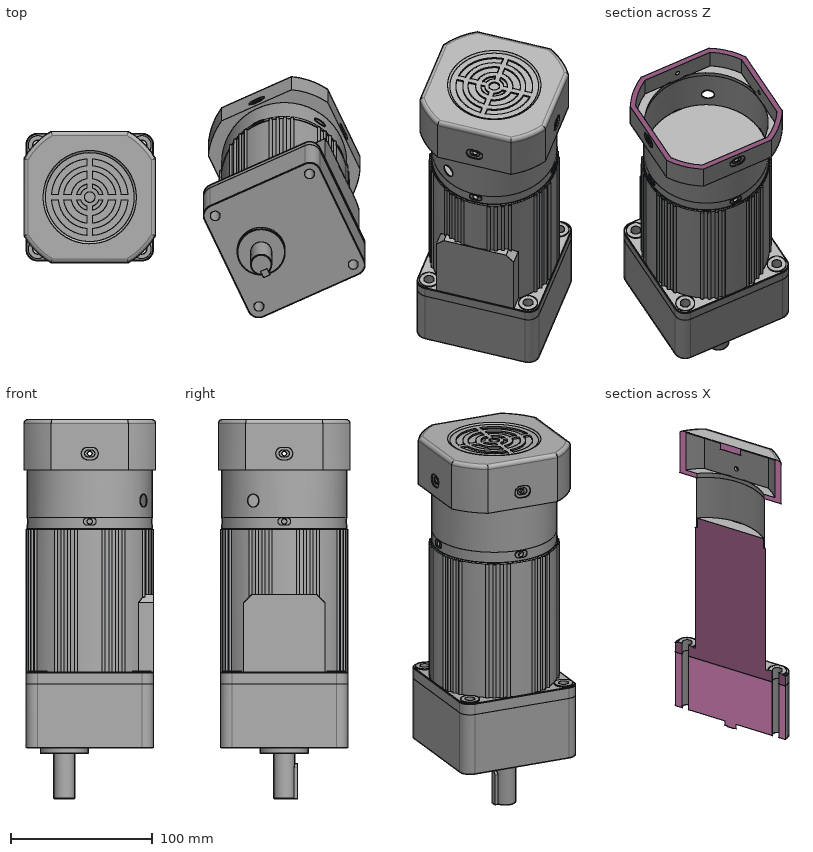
import cadquery as cq

gearhead_bottom = 36.0
flange_bottom = 81.2
flange_top = 89.5
shoulder_top = 191.0
spigot_top = 198.9
cover_bottom = 232.0
cover_top = 268.0

base_side = 90.0
base_corner_radius = 8.0
base_edge_chamfer = 0.5
bolt_offset = 36.7
bolt_hole_diameter = 7.0
pad_diameter = 13.5
pad_height = 0.8

shaft_offset_x = -18.0
boss_diameter = 34.0
boss_height = 4.0
shaft_diameter = 15.0
tip_chamfer = 0.5
key_width = 5.0
key_length = 25.0
key_outer_face = 9.5
key_height = 5.0

barrel_radius = 44.8
barrel_chamfer = 0.8
rib_radius = 1.2
rib_angles = (12.5, 19.0, 25.5, 32.0)

block_width = 57.4
block_top = 144.2
block_chamfer = 5.5

cover_side = 93.0
cover_corner_radius = 54.0
cover_wall = 4.0
cover_top_fillet = 3.0
skirt_radius = 44.2
skirt_wall = 0.5
skirt_bore_radius = skirt_radius - skirt_wall

lid_thickness = 1.0
dish_top_radius = 33.0
dish_floor_radius = 31.4
grille_radius = 35.5
grille_thickness = 4.8
slot_depth = 1.0
slot_rings = ((27.0, 22.2), (18.5, 13.0), (9.5, 6.7))
spoke_width = 3.8
hub_hole_radius = 3.8

upper_seat_z = 244.0
upper_seat_length = 12.0
upper_seat_height = 8.8
upper_seat_depth = 0.95
upper_step_length = 7.2
upper_step_height = 4.8
upper_step_depth = 0.5
upper_hole_diameter = 3.2
lower_seat_z = 196.0
lower_seat_length = 9.0
lower_seat_height = 5.0
lower_seat_depth = 1.3
lower_hole_diameter = 3.8
lower_hole_depth = 4.0
cable_hole_z = 210.6
cable_hole_diameter = 9.0
cable_hole_depth = 2.7
cable_hole_angle = 60

quarter_turns = (0, 90, 180, 270)


def rounded_base(bottom, top):
    """Square block with rounded vertical edges between two levels."""
    return (
        cq.Workplane("XY", origin=(0, 0, bottom))
        .rect(base_side, base_side)
        .extrude(top - bottom)
        .edges("|Z")
        .fillet(base_corner_radius)
    )


def at_bolts(z):
    """Workplane at a level with the four corner bolt positions selected."""
    pitch = 2 * bolt_offset
    return cq.Workplane("XY", origin=(0, 0, z)).rect(pitch, pitch, forConstruction=True).vertices()


def drum(radius, bottom, top):
    """Solid cylinder about the motor axis between two levels."""
    return cq.Workplane("XY", origin=(0, 0, bottom)).circle(radius).extrude(top - bottom)


def front_plane(distance, z):
    """Workplane facing -Y at a distance from the motor axis; extruding inwards is negative."""
    return cq.Workplane("XZ", origin=(0, -distance, z))


def on_four_sides(tool):
    """The tool repeated at every quarter turn about the motor axis."""
    copies = cq.Workplane("XY")
    for angle in quarter_turns:
        copies = copies.add(tool.rotate((0, 0, 0), (0, 0, 1), angle))
    return copies.combine()


def make_key():
    """Parallel key with a round upper end, running down to the shaft tip."""
    straight_length = key_length - key_width / 2
    inner_face = key_outer_face - key_height
    return (
        cq.Workplane("XZ", origin=(shaft_offset_x, key_outer_face, 0))
        .moveTo(-key_width / 2, 0)
        .lineTo(key_width / 2, 0)
        .lineTo(key_width / 2, straight_length)
        .threePointArc((0, key_length), (-key_width / 2, straight_length))
        .close()
        .extrude(key_outer_face - inner_face)
    )


def output_cylinder(diameter, length):
    """Cylinder on the output axis, hanging from the gearhead, with a chamfered lower end."""
    return (
        cq.Workplane("XY", origin=(shaft_offset_x, 0, gearhead_bottom))
        .circle(diameter / 2)
        .extrude(-length)
        .faces("<Z")
        .chamfer(tip_chamfer)
    )


def make_gearhead(key):
    """Gearhead block with the offset boss, the output shaft and its keyway."""
    body = rounded_base(gearhead_bottom, flange_bottom).faces("<Z").chamfer(base_edge_chamfer)
    boss = output_cylinder(boss_diameter, boss_height)
    shaft = output_cylinder(shaft_diameter, gearhead_bottom)
    bolt_holes = at_bolts(gearhead_bottom).circle(bolt_hole_diameter / 2)
    bolt_holes = bolt_holes.extrude(flange_bottom - gearhead_bottom)
    return body.cut(bolt_holes).union(boss).union(shaft).cut(key)


def make_flange():
    """Motor flange with a raised round pad about each bolt hole."""
    flange = rounded_base(flange_bottom, flange_top).faces(">Z").chamfer(base_edge_chamfer)
    pads = at_bolts(flange_top).circle(pad_diameter / 2).extrude(pad_height)
    bolt_holes = at_bolts(flange_bottom).circle(bolt_hole_diameter / 2)
    bolt_holes = bolt_holes.extrude(flange_top + pad_height - flange_bottom)
    return flange.union(pads).cut(bolt_holes)


def make_barrel():
    """Motor barrel with groups of lengthwise half-round ribs either side of each quarter line."""
    barrel = drum(barrel_radius, flange_top, shoulder_top).faces(">Z").chamfer(barrel_chamfer)
    rib = (
        cq.Workplane("XY", origin=(0, -barrel_radius, flange_top))
        .circle(rib_radius)
        .extrude(shoulder_top - barrel_chamfer - flange_top)
    )
    for quarter in quarter_turns:
        for angle in rib_angles:
            for side in (-1, 1):
                barrel = barrel.union(rib.rotate((0, 0, 0), (0, 0, 1), quarter + side * angle))
    return barrel


def make_terminal_block():
    """Block on the +X side of the barrel, sloped at both upper side edges."""
    reach = base_side / 2
    return (
        cq.Workplane("XY", origin=(reach / 2, 0, flange_top))
        .rect(reach, block_width)
        .extrude(block_top - flange_top)
        .edges(">Z and |X")
        .chamfer(block_chamfer)
    )


def make_motor():
    """Motor: flange, ribbed barrel, terminal block and the spigot that carries the fan cover."""
    spigot = drum(skirt_bore_radius, shoulder_top, spigot_top)
    screw_hole = (
        front_plane(skirt_bore_radius, lower_seat_z).circle(lower_hole_diameter / 2).extrude(-lower_hole_depth)
    )
    spigot = spigot.cut(on_four_sides(screw_hole))
    return make_flange().union(make_barrel()).union(make_terminal_block()).union(spigot)


def cover_block(inset, bottom, top):
    """Square block whose corners follow a circle about the motor axis, shrunk by an inset."""
    side = cover_side - 2 * inset
    square = cq.Workplane("XY", origin=(0, 0, bottom)).rect(side, side).extrude(top - bottom)
    return square.intersect(drum(cover_corner_radius - inset, bottom, top))


def grille_slots(floor_z):
    """Rings of blind slots split by two crossing spokes, and the blind hole at the hub."""
    bottom_z = floor_z - slot_depth
    spoke_length = 2 * grille_radius
    plane = cq.Workplane("XY", origin=(0, 0, bottom_z))
    spoke = plane.rect(spoke_length, spoke_width).extrude(slot_depth)
    spokes = spoke.union(spoke.rotate((0, 0, 0), (0, 0, 1), 90))
    slots = drum(hub_hole_radius, bottom_z, floor_z)
    for outer, inner in slot_rings:
        ring = plane.circle(outer).circle(inner).extrude(slot_depth)
        slots = slots.union(ring.cut(spokes))
    return slots


def upper_screw_seat():
    """Stepped oblong recess with a hole through the cover wall."""
    face = cover_side / 2
    recess = (
        front_plane(face, upper_seat_z).slot2D(upper_seat_length, upper_seat_height).extrude(-upper_seat_depth)
    )
    step = (
        front_plane(face - upper_seat_depth, upper_seat_z)
        .slot2D(upper_step_length, upper_step_height)
        .extrude(-upper_step_depth)
    )
    hole = front_plane(face, upper_seat_z).circle(upper_hole_diameter / 2).extrude(-cover_wall)
    return recess.union(step).union(hole)


def make_fan_cover():
    """Hollow fan cover with a dished grille in the lid and a thin skirt over the motor spigot."""
    lid_underside = cover_top - lid_thickness
    cover = cover_block(0, cover_bottom, cover_top).faces(">Z").edges().fillet(cover_top_fillet)
    cover = cover.union(drum(skirt_radius, shoulder_top, cover_bottom))
    cover = cover.cut(cover_block(cover_wall, cover_bottom + cover_wall, lid_underside))
    cover = cover.cut(drum(skirt_bore_radius, shoulder_top, cover_bottom + cover_wall))

    dish = (
        cq.Workplane("XY", origin=(0, 0, lid_underside))
        .circle(dish_floor_radius)
        .workplane(offset=lid_thickness)
        .circle(dish_top_radius)
        .loft()
    )
    grille = drum(grille_radius, lid_underside - grille_thickness, lid_underside)
    cover = cover.cut(dish).union(grille).cut(grille_slots(lid_underside))

    lower_seat = (
        front_plane(skirt_radius, lower_seat_z)
        .slot2D(lower_seat_length, lower_seat_height)
        .extrude(-lower_seat_depth)
    )
    cable_hole = (
        front_plane(skirt_radius, cable_hole_z)
        .circle(cable_hole_diameter / 2)
        .extrude(-cable_hole_depth)
        .rotate((0, 0, 0), (0, 0, 1), cable_hole_angle)
    )
    return cover.cut(on_four_sides(upper_screw_seat())).cut(on_four_sides(lower_seat)).cut(cable_hole)


key = make_key()
gearhead = make_gearhead(key)
motor = make_motor()
fan_cover = make_fan_cover()

result = cq.Compound.makeCompound([gearhead.val(), key.val(), motor.val(), fan_cover.val()])